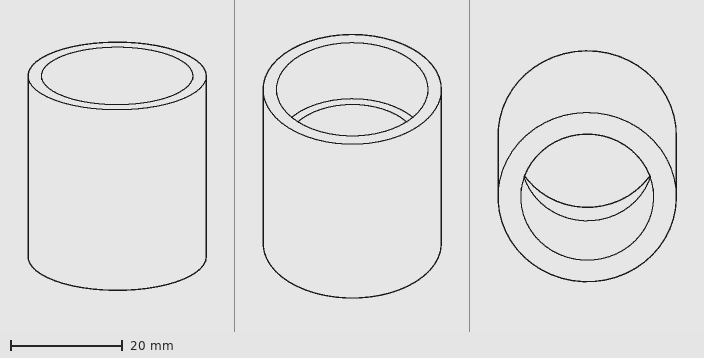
import cadquery as cq

length = 35.0
outer_diameter = 32.0
bore_diameter = 23.8
socket_diameter = 27.15
socket_depth = 12.75

sleeve = cq.Workplane("XY").circle(outer_diameter / 2).circle(bore_diameter / 2).extrude(length)

socket = (
    cq.Workplane("XY")
    .workplane(offset=length - socket_depth)
    .circle(socket_diameter / 2)
    .extrude(socket_depth)
)

result = sleeve.cut(socket)